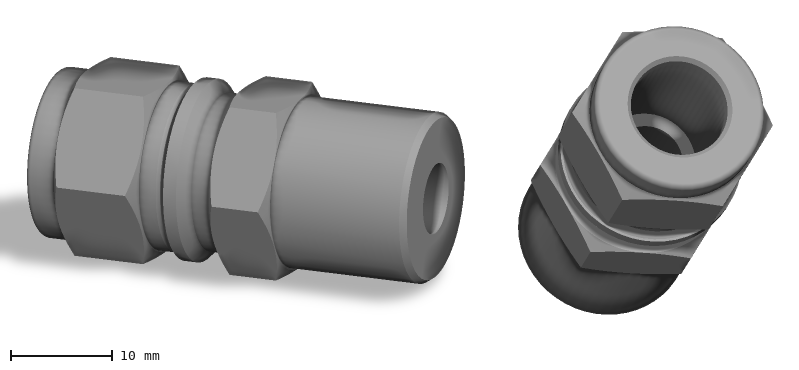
import cadquery as cq
import math

total_length = 40.0
hex_across_corners = 20.15
hex_across_flats = hex_across_corners * math.cos(math.radians(30))
hex_chamfer_angle = 30.0

collar_diameter = 17.0
collar_rounding = 0.52
nut_hex_start = 2.95
nut_hex_end = 11.95
nut_chamfer_diameter = 17.1
skirt_diameter = 16.8
skirt_end = 14.05
skirt_chamfer = 0.35
skirt_chamfer_depth = 0.2

neck_diameter = 14.3
neck_end = 15.6
neck_chamfer_length = 0.4
core_diameter = 13.05
flange_start = 14.72
flange_cone_start = 16.1
flange_cone_end = 17.25
flange_diameter = 18.25
recess_rim_diameter = 17.75
recess_end = 17.05
shoulder_diameter = 15.8
shoulder_chamfer = 0.4

body_hex_start = 19.4
body_hex_end = 25.85
pipe_diameter = 17.1
pipe_chamfer_length = 0.65
pipe_chamfer_depth = 0.45

bore_diameter = 7.12
socket_diameter = 9.72
socket_depth = 16.8
socket_chamfer = 0.4


def revolve_profile(points):
    """Solid of revolution about X from (x, radius) points, closed along the axis."""
    first_x = points[0][0]
    last_x = points[-1][0]
    outline = [(first_x, 0)] + points + [(last_x, 0)]
    return cq.Workplane("XY").polyline(outline).close().revolve(360, (0, 0, 0), (1, 0, 0))


def cylinder(start, end, diameter):
    return revolve_profile([(start, diameter / 2), (end, diameter / 2)])


def chamfered_hexagon(start, end, face_diameter):
    """Hexagon with corners on +Y and -Y, conically chamfered at both ends."""
    prism = (
        cq.Workplane("YZ", origin=(start, 0, 0))
        .polygon(6, hex_across_corners)
        .extrude(end - start)
    )
    face_radius = face_diameter / 2
    corner_radius = hex_across_corners / 2
    cone_length = (corner_radius - face_radius) * math.tan(math.radians(hex_chamfer_angle))
    envelope = revolve_profile([
        (start, face_radius),
        (start + cone_length, corner_radius),
        (end - cone_length, corner_radius),
        (end, face_radius),
    ])
    return prism.intersect(envelope)


def make_nut():
    collar = cylinder(0, nut_hex_start, collar_diameter).faces("<X").edges().fillet(collar_rounding)
    hexagon = chamfered_hexagon(nut_hex_start, nut_hex_end, nut_chamfer_diameter)
    skirt_radius = skirt_diameter / 2
    skirt = revolve_profile([
        (nut_hex_end, skirt_radius),
        (skirt_end - skirt_chamfer, skirt_radius),
        (skirt_end, skirt_radius - skirt_chamfer_depth),
    ])
    return collar.union(hexagon).union(skirt)


def make_body():
    flange_radius = flange_diameter / 2
    shoulder_radius = shoulder_diameter / 2
    neck_radius = neck_diameter / 2
    core_radius = core_diameter / 2
    middle = revolve_profile([
        (skirt_end, neck_radius),
        (neck_end, neck_radius),
        (neck_end + neck_chamfer_length, core_radius),
        (recess_end, core_radius),
        (flange_start, recess_rim_diameter / 2),
        (flange_start, flange_radius),
        (flange_cone_start, flange_radius),
        (flange_cone_end, shoulder_radius),
        (body_hex_start - shoulder_chamfer, shoulder_radius),
        (body_hex_start, shoulder_radius - shoulder_chamfer),
    ])
    hexagon = chamfered_hexagon(body_hex_start, body_hex_end, hex_across_flats)
    pipe_radius = pipe_diameter / 2
    pipe = revolve_profile([
        (body_hex_end, pipe_radius),
        (total_length - pipe_chamfer_length, pipe_radius),
        (total_length, pipe_radius - pipe_chamfer_depth),
    ])
    return middle.union(hexagon).union(pipe)


def make_bore():
    socket_radius = socket_diameter / 2
    socket = revolve_profile([
        (0, socket_radius + socket_chamfer),
        (socket_chamfer, socket_radius),
        (socket_depth, socket_radius),
    ])
    return socket.union(cylinder(0, total_length, bore_diameter))


result = make_nut().union(make_body()).cut(make_bore())